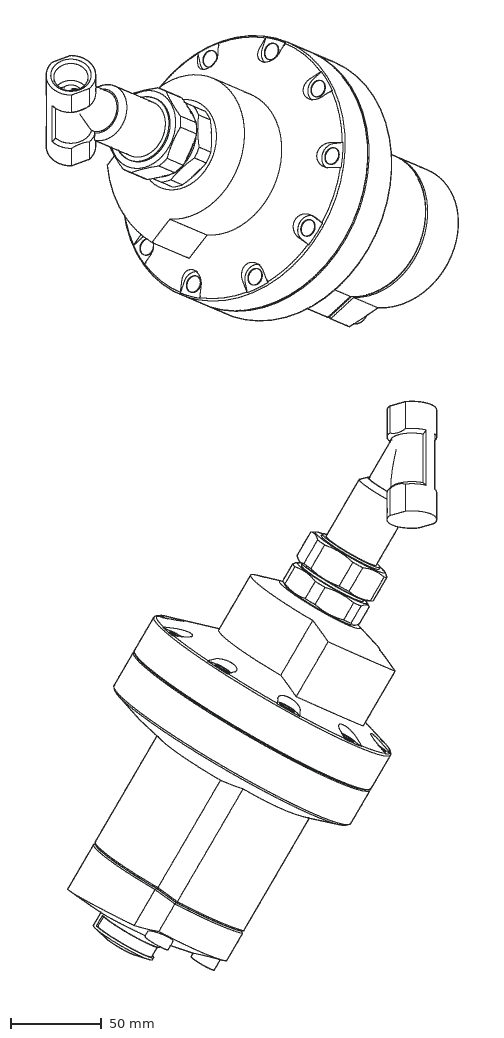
import cadquery as cq
import math

TILT = 40.0

FLANGE_DIAMETER = 151.5
FLANGE_RADIUS = FLANGE_DIAMETER / 2
FLANGE_RIM = 23.2
CONE_ANGLE = 18.0
EDGE_BREAK = 1.1
FLANGE_JOINT_BREAK = 0.5
CAP_JOINT_BREAK = 1.0
DOME_RADIUS = 202.7
COLUMN_RADIUS = 41.2
LUG_REACH = 53.0
LUG_FACE_RADIUS = 75.5
COVER_LUG_WIDTH = 59.0
BODY_LUG_WIDTH = 58.5
CAP_LUG_WIDTH = 59.5
COVER_SHOULDER = 69.3
SEAT_DIAMETER = 51.5
CAP_JOINT = -103.0

BOLT_COUNT = 10
BOLT_CIRCLE_RADIUS = 67.8
BOLT_POCKET_WIDTH = 14.3
BOLT_POCKET_FLOOR = 23.0
BOLT_HEAD_DIAMETER = 9.5
BOLT_HEAD_TOP = 23.5

DOME_OFFSET = 18.5
DOME_BOTTOM = -134.8
PLUG_DIAMETER = 37.8
PLUG_SHOULDER = -142.8
PLUG_CROWN = 3.1
PLUG_BAND_DIAMETER = 35.5
PLUG_BAND_BOTTOM = -141.5
PLUG_BAND_TOP = -134.8
PLUG_BAND_BACK = 7.5
FOOT_DIAMETER = 15.0
FOOT_SPACING = 40.6
FOOT_REACH = 41.0
FOOT_BOTTOM = -129.0
EMBED = 3.0

NUT_DIAMETER = 49.2
NUT_FLATS = 45.5
NUT_CHAMFER_ANGLE = 30.0
NUT_FACE_INSET = 0.5
LOWER_NUT_TOP = 88.2
UPPER_NUT_BOTTOM = 90.0
UPPER_NUT_TOP = 108.0
NUT_NECK_DIAMETER = 39.5
PIPE_COLLAR_DIAMETER = 37.0
PIPE_COLLAR_TOP = 109.0
PIPE_DIAMETER = 32.0
PIPE_TOP = 148.8
PIPE_CHAMFER = 3.5
NECK_RADIUS = 11.7
CONNECTOR_AXIS_HEIGHT = 176.0
CONNECTOR_RADIUS = 13.7
CONNECTOR_FLATS = 25.2
CONNECTOR_LENGTH = 64.7
CONNECTOR_ABOVE_AXIS = 21.5
CONNECTOR_END_LENGTH = 18.0
CONNECTOR_RIB_WIDTH = 7.7
MOUTH_DIAMETER = 19.0
MOUTH_DEPTH = 17.2
MOUTH_CHAMFER = 1.7
BORE_DIAMETER = 12.5
BORE_OVERRUN = 9.7
BORE_FLOOR = 2.5

BACK_RADIUS = FLANGE_RADIUS - EDGE_BREAK
CONE_SLOPE = math.tan(math.radians(CONE_ANGLE))
SEAT_HEIGHT = COVER_SHOULDER + CONE_SLOPE * (COLUMN_RADIUS - SEAT_DIAMETER / 2)


def cylinder(diameter, bottom, top):
    return cq.Workplane("XY").workplane(offset=bottom).circle(diameter / 2).extrude(top - bottom)


def revolved(profile):
    """Solid of revolution about Z from (radius, height) points."""
    return cq.Workplane("XZ").polyline(profile).close().revolve(360, (0, 0, 0), (0, 1, 0))


def column(lug_width, bottom, top):
    """Round column with a flat-sided, bow-faced lug on its front."""
    half = lug_width / 2
    sag = LUG_FACE_RADIUS - math.sqrt(LUG_FACE_RADIUS**2 - half**2)
    lug = (
        cq.Workplane("XY").workplane(offset=bottom)
        .moveTo(-half, 0)
        .lineTo(-half, sag - LUG_REACH)
        .threePointArc((0, -LUG_REACH), (half, sag - LUG_REACH))
        .lineTo(half, 0)
        .close()
        .extrude(top - bottom)
    )
    return cylinder(2 * COLUMN_RADIUS, bottom, top).union(lug)


def flange_profile(back_height):
    """Half section of a flange standing on its joint face, with its back closing on the axis."""
    return [
        (0, 0),
        (FLANGE_RADIUS - FLANGE_JOINT_BREAK, 0),
        (FLANGE_RADIUS, FLANGE_JOINT_BREAK),
        (FLANGE_RADIUS, FLANGE_RIM - EDGE_BREAK),
        (BACK_RADIUS, FLANGE_RIM),
        (0, back_height),
    ]


def bolt_pocket():
    """Cutter for one pocket at the origin: round toward the axis, open toward the rim (+X)."""
    to_rim = FLANGE_RADIUS - BOLT_CIRCLE_RADIUS
    height = SEAT_HEIGHT - BOLT_POCKET_FLOOR
    channel = (
        cq.Workplane("XY").workplane(offset=BOLT_POCKET_FLOOR)
        .center(to_rim / 2, 0)
        .rect(to_rim, BOLT_POCKET_WIDTH)
        .extrude(height)
    )
    return cylinder(BOLT_POCKET_WIDTH, BOLT_POCKET_FLOOR, SEAT_HEIGHT).union(channel)


def hexagon_nut(diameter, flats, bottom, top, turn):
    """Hexagon with corners rounded to a diameter and both ends chamfered down to the flats."""
    height = top - bottom
    blank = (
        cq.Workplane("XY").workplane(offset=bottom)
        .polygon(6, flats, circumscribed=True)
        .extrude(height)
        .rotate((0, 0, 0), (0, 0, 1), turn)
    )
    radius = diameter / 2
    face_radius = flats / 2 - NUT_FACE_INSET
    drop = (radius - face_radius) * math.tan(math.radians(NUT_CHAMFER_ANGLE))
    envelope = revolved([
        (0, bottom),
        (face_radius, bottom),
        (radius, bottom + drop),
        (radius, top - drop),
        (face_radius, top),
        (0, top),
    ])
    return blank.intersect(envelope)


def plug():
    """Round plug with a crowned end and a recessed band that leaves its back at full size."""
    radius = PLUG_DIAMETER / 2
    crown_radius = (radius**2 + PLUG_CROWN**2) / (2 * PLUG_CROWN)
    end = PLUG_SHOULDER - PLUG_CROWN
    crown = cq.Workplane("XY").sphere(crown_radius).translate((0, 0, end + crown_radius))
    front = (
        cq.Workplane("XY").workplane(offset=PLUG_BAND_BOTTOM)
        .center(0, PLUG_BAND_BACK - PLUG_DIAMETER / 2)
        .rect(2 * PLUG_DIAMETER, PLUG_DIAMETER)
        .extrude(PLUG_BAND_TOP - PLUG_BAND_BOTTOM)
    )
    band = front.cut(cylinder(PLUG_BAND_DIAMETER, PLUG_BAND_BOTTOM, PLUG_BAND_TOP))
    return cylinder(PLUG_DIAMETER, end, CAP_JOINT - EMBED).intersect(crown).cut(band)


def build_cover():
    rim_limit = 2 * LUG_REACH
    top_cone = revolved([
        (0, 0),
        (rim_limit, 0),
        (rim_limit, COVER_SHOULDER - CONE_SLOPE * (rim_limit - COLUMN_RADIUS)),
        (SEAT_DIAMETER / 2, SEAT_HEIGHT),
        (0, SEAT_HEIGHT),
    ])
    disc = revolved(flange_profile(FLANGE_RIM + CONE_SLOPE * BACK_RADIUS))
    pocket = bolt_pocket().translate((BOLT_CIRCLE_RADIUS, 0, 0))
    head = cylinder(BOLT_HEAD_DIAMETER, FLANGE_RIM / 2, BOLT_HEAD_TOP).translate((BOLT_CIRCLE_RADIUS, 0, 0))
    for index in range(BOLT_COUNT):
        angle = 90 + index * 360 / BOLT_COUNT
        disc = disc.cut(pocket.rotate((0, 0, 0), (0, 0, 1), angle))
        disc = disc.union(head.rotate((0, 0, 0), (0, 0, 1), angle))
    return disc.union(column(COVER_LUG_WIDTH, FLANGE_RIM, SEAT_HEIGHT).intersect(top_cone))


def build_body():
    sphere_centre = FLANGE_RIM - math.sqrt(DOME_RADIUS**2 - BACK_RADIUS**2)
    sphere = cq.Workplane("XY").sphere(DOME_RADIUS).translate((0, 0, sphere_centre))
    blank = revolved(flange_profile(FLANGE_RIM + COLUMN_RADIUS))
    disc = blank.intersect(sphere)
    shaft = column(BODY_LUG_WIDTH, CAP_JOINT, -FLANGE_RIM).faces("<Z").chamfer(CAP_JOINT_BREAK)
    return disc.mirror("XY").union(shaft)


def build_cap():
    block = column(CAP_LUG_WIDTH, DOME_BOTTOM, CAP_JOINT).faces(">Z").chamfer(CAP_JOINT_BREAK)
    dome = cq.Workplane("XY").sphere(DOME_RADIUS).translate((0, DOME_OFFSET, DOME_BOTTOM + DOME_RADIUS))
    cap = block.intersect(dome).union(plug())
    for side in (-1, 1):
        foot = cylinder(FOOT_DIAMETER, FOOT_BOTTOM, CAP_JOINT - EMBED)
        cap = cap.union(foot.translate((side * FOOT_SPACING / 2, -FOOT_REACH, 0)))
    return cap


def build_connector():
    """Vertical connector with the crossing of the axes at the origin."""
    top = CONNECTOR_ABOVE_AXIS
    bottom = top - CONNECTOR_LENGTH
    taper = CONNECTOR_RADIUS - NECK_RADIUS
    spool = revolved([
        (0, bottom),
        (CONNECTOR_RADIUS, bottom),
        (CONNECTOR_RADIUS, bottom + CONNECTOR_END_LENGTH - taper),
        (NECK_RADIUS, bottom + CONNECTOR_END_LENGTH),
        (NECK_RADIUS, top - CONNECTOR_END_LENGTH),
        (CONNECTOR_RADIUS, top - CONNECTOR_END_LENGTH + taper),
        (CONNECTOR_RADIUS, top),
        (0, top),
    ])
    rib = (
        cq.Workplane("XY").workplane(offset=bottom)
        .center(0, -CONNECTOR_RADIUS / 2)
        .rect(CONNECTOR_RIB_WIDTH, CONNECTOR_RADIUS)
        .extrude(CONNECTOR_LENGTH)
        .intersect(cylinder(2 * CONNECTOR_RADIUS, bottom, top))
    )
    slab = (
        cq.Workplane("XY").workplane(offset=bottom)
        .rect(CONNECTOR_FLATS, 3 * CONNECTOR_RADIUS)
        .extrude(CONNECTOR_LENGTH)
    )
    return spool.union(rib).intersect(slab)


def build_fitting():
    pipe = revolved([
        (0, PIPE_COLLAR_TOP),
        (PIPE_DIAMETER / 2, PIPE_COLLAR_TOP),
        (PIPE_DIAMETER / 2, PIPE_TOP - PIPE_CHAMFER),
        (PIPE_DIAMETER / 2 - PIPE_CHAMFER, PIPE_TOP),
        (0, PIPE_TOP),
    ])
    stem = (
        hexagon_nut(NUT_DIAMETER, NUT_FLATS, SEAT_HEIGHT, LOWER_NUT_TOP, 0)
        .union(cylinder(NUT_NECK_DIAMETER, LOWER_NUT_TOP, UPPER_NUT_BOTTOM))
        .union(hexagon_nut(NUT_DIAMETER, NUT_FLATS, UPPER_NUT_BOTTOM, UPPER_NUT_TOP, 30))
        .union(cylinder(PIPE_COLLAR_DIAMETER, UPPER_NUT_TOP, PIPE_COLLAR_TOP))
        .union(pipe)
        .union(cylinder(2 * NECK_RADIUS, PIPE_TOP, CONNECTOR_AXIS_HEIGHT))
    )
    upright = build_connector().rotate((0, 0, 0), (1, 0, 0), -TILT)
    mouth = cylinder(MOUTH_DIAMETER, CONNECTOR_ABOVE_AXIS - MOUTH_DEPTH, CONNECTOR_ABOVE_AXIS)
    mouth_cone = revolved([
        (0, CONNECTOR_ABOVE_AXIS),
        (MOUTH_DIAMETER / 2 + MOUTH_CHAMFER, CONNECTOR_ABOVE_AXIS),
        (MOUTH_DIAMETER / 2, CONNECTOR_ABOVE_AXIS - MOUTH_CHAMFER),
        (0, CONNECTOR_ABOVE_AXIS - MOUTH_CHAMFER),
    ])
    vertical_bore = (
        cylinder(BORE_DIAMETER, 0, CONNECTOR_ABOVE_AXIS)
        .union(mouth)
        .union(mouth_cone)
        .rotate((0, 0, 0), (1, 0, 0), -TILT)
    )
    slanted_bore = cylinder(BORE_DIAMETER, -BORE_FLOOR, BORE_OVERRUN)
    crossing = (0, 0, CONNECTOR_AXIS_HEIGHT)
    fitting = stem.union(upright.translate(crossing))
    return fitting.cut(vertical_bore.translate(crossing)).cut(slanted_bore.translate(crossing))


def tilted(body):
    return body.rotate((0, 0, 0), (1, 0, 0), TILT)


cover = tilted(build_cover())
body = tilted(build_body())
cap = tilted(build_cap())
fitting = tilted(build_fitting())

result = cq.Compound.makeCompound([cover.val(), body.val(), cap.val(), fitting.val()])